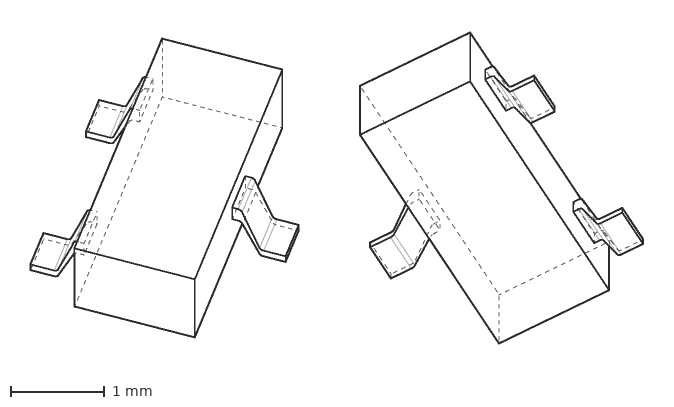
import cadquery as cq

body_width = 1.35
body_length = 3.0
body_height = 1.0

lead_span = 2.55
lead_width = 0.45
lead_offset = 0.95
foot_thickness = 0.1
shoulder_top = 0.7
shoulder_bottom = 0.5
bend_radius = 0.048

shoulder_start = 0.5
paired_foot_length = 0.3
single_foot_length = 0.282

lead_reach = (lead_span - body_width) / 2


def make_body():
    return cq.Workplane("XY").box(
        body_width, body_length, body_height, centered=(True, True, False)
    )


def bend_edges(lead, x, low_z, high_z):
    """Select the two edges across the lead at one bend."""
    margin = foot_thickness / 4
    corner_low = (x - margin, -lead_width, low_z - margin)
    corner_high = (x + margin, lead_width, high_z + margin)
    return lead.edges("|Y").edges(cq.selectors.BoxSelector(corner_low, corner_high))


def make_left_lead(foot_length):
    """Lead on the -X side, centred on Y = 0, ending at the body wall."""
    toe_x = -lead_span / 2
    heel_x = toe_x + foot_length
    shoulder_x = toe_x + shoulder_start
    root_x = toe_x + lead_reach
    lead = (
        cq.Workplane("XZ")
        .moveTo(toe_x, 0)
        .lineTo(heel_x, 0)
        .lineTo(shoulder_x, shoulder_bottom)
        .lineTo(root_x, shoulder_bottom)
        .lineTo(root_x, shoulder_top)
        .lineTo(shoulder_x, shoulder_top)
        .lineTo(heel_x, foot_thickness)
        .lineTo(toe_x, foot_thickness)
        .close()
        .extrude(lead_width / 2, both=True)
    )
    lead = bend_edges(lead, shoulder_x, shoulder_bottom, shoulder_top).fillet(bend_radius)
    return bend_edges(lead, heel_x, 0, foot_thickness).fillet(bend_radius)


paired_lead = make_left_lead(paired_foot_length)
single_lead = make_left_lead(single_foot_length).mirror("YZ")

result = make_body().union(single_lead)
for lead_y in (-lead_offset, lead_offset):
    result = result.union(paired_lead.translate((0, lead_y, 0)))